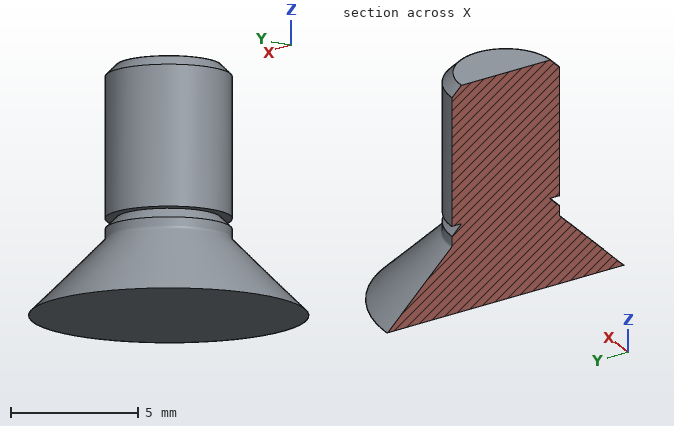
import cadquery as cq
import math

head_diameter = 11.03
total_height = 10.0
shank_diameter = 5.01
chamfer = 0.43
thread_start = 3.88
fillet_radius = 0.2
cone_angle = math.radians(45)

head_radius = head_diameter / 2
shank_radius = shank_diameter / 2
neck_radius = shank_radius - chamfer
collar_top = thread_start - chamfer

fillet_center_radius = shank_radius + fillet_radius
cone_top_radius = fillet_center_radius - fillet_radius * math.cos(cone_angle)
cone_top = (head_radius - cone_top_radius) * math.tan(cone_angle)
fillet_top = cone_top + fillet_radius * math.sin(cone_angle)
fillet_mid_radius = fillet_center_radius - fillet_radius * math.cos(cone_angle / 2)
fillet_mid_height = fillet_top - fillet_radius * math.sin(cone_angle / 2)

profile = (
    cq.Workplane("XZ")
    .lineTo(-head_radius, 0)
    .lineTo(-cone_top_radius, cone_top)
    .threePointArc((-fillet_mid_radius, fillet_mid_height), (-shank_radius, fillet_top))
    .lineTo(-shank_radius, collar_top)
    .lineTo(-neck_radius, thread_start)
    .lineTo(-shank_radius, thread_start)
    .lineTo(-shank_radius, total_height - chamfer)
    .lineTo(-neck_radius, total_height)
    .lineTo(0, total_height)
    .close()
)
result = profile.revolve(360, (0, 0, 0), (0, 1, 0))